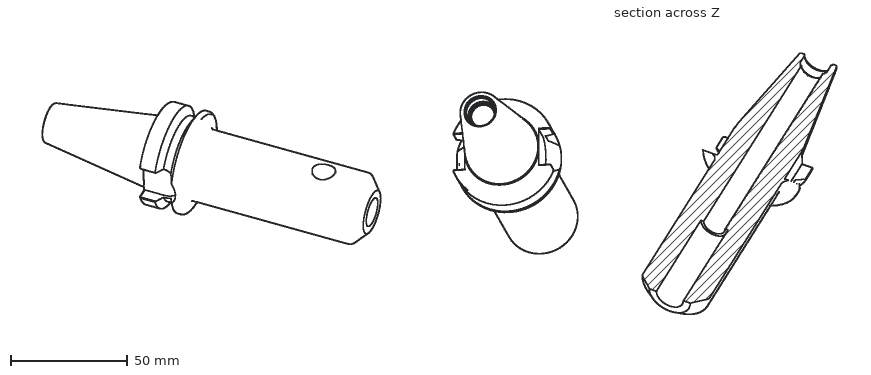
import math

import cadquery as cq

taper_start = -48.4
taper_end = 0.4
flange_start = 2.4
front_land_end = 9.8
groove_floor_start = 12.1
groove_floor_end = 15.7
rear_land_start = 17.9
flange_end = 20.4
neck_end = 23.4
shank_end = 102.0

gauge_diameter = 31.75
taper_per_length = 7 / 24
flange_radius = 46.0 / 2
groove_radius = 38.4 / 2
shank_radius = 32.0 / 2
taper_tip_fillet = 1.0
flange_root_fillet = 0.4
flange_edge_fillet = 1.0
neck_fillet = neck_end - flange_end
nose_angle = math.radians(48)
nose_fillet = 1.7
nose_length = 5.7
nose_tip_chamfer = 0.4

keyway_width = 16.1
keyway_floor = 16.1
keyway_end = 19.95
keyway_edge_chamfer = 0.4

drawbar_mouth_diameter = 14.0
drawbar_lead_in_diameter = 13.1
drawbar_guide_diameter = 12.5
drawbar_guide_start = 1.1
drawbar_guide_end = 5.4
drawbar_seat_diameter = 11.4
drawbar_seat_start = 6.0
drawbar_seat_end = 6.6
drawbar_diameter = 10.11

tool_bore_diameter = 12.7
tool_bore_depth = 45.0
screw_hole_diameter = 10.11
screw_hole_x = 79.5


def taper_radius(x):
    return (gauge_diameter + x * taper_per_length) / 2


def revolve_about_x(profile):
    return profile.close().revolve(360, (0, 0, 0), (1, 0, 0))


def taper_cone():
    """Steep taper with a rounded tip."""
    profile = (
        cq.Workplane("XY")
        .moveTo(taper_start, 0)
        .lineTo(taper_start, taper_radius(taper_start))
        .lineTo(taper_end, taper_radius(taper_end))
        .lineTo(taper_end, 0)
    )
    return revolve_about_x(profile).edges("<X").fillet(taper_tip_fillet)


def flange_and_shank():
    """Cylinder behind the taper, grooved flange, shank and conical nose."""
    root_radius = taper_radius(taper_end)
    nose_start = shank_end - nose_length
    blend_half_length = nose_fillet * math.tan(nose_angle / 2)
    blend_end_x = nose_start + blend_half_length * math.cos(nose_angle)
    blend_end_radius = shank_radius - blend_half_length * math.sin(nose_angle)
    cone_end_x = shank_end - nose_tip_chamfer
    cone_end_radius = shank_radius - (cone_end_x - nose_start) * math.tan(nose_angle)
    profile = (
        cq.Workplane("XY")
        .moveTo(taper_end, 0)
        .lineTo(taper_end, root_radius)
        .lineTo(flange_start - flange_root_fillet, root_radius)
        .radiusArc((flange_start, root_radius + flange_root_fillet), -flange_root_fillet)
        .lineTo(flange_start, flange_radius - flange_edge_fillet)
        .radiusArc((flange_start + flange_edge_fillet, flange_radius), flange_edge_fillet)
        .lineTo(front_land_end, flange_radius)
        .lineTo(groove_floor_start, groove_radius)
        .lineTo(groove_floor_end, groove_radius)
        .lineTo(rear_land_start, flange_radius)
        .lineTo(flange_end - flange_edge_fillet, flange_radius)
        .radiusArc((flange_end, flange_radius - flange_edge_fillet), flange_edge_fillet)
        .lineTo(flange_end, shank_radius + neck_fillet)
        .radiusArc((neck_end, shank_radius), -neck_fillet)
        .lineTo(nose_start - blend_half_length, shank_radius)
        .radiusArc((blend_end_x, blend_end_radius), nose_fillet)
        .lineTo(cone_end_x, cone_end_radius)
        .lineTo(shank_end, cone_end_radius - nose_tip_chamfer)
        .lineTo(shank_end, 0)
    )
    return revolve_about_x(profile)


def keyway(side):
    """Round-ended drive slot, open toward the taper."""
    half_width = keyway_width / 2
    depth = flange_radius - keyway_floor
    return (
        cq.Workplane("XZ", origin=(0, side * keyway_floor, 0))
        .moveTo(taper_end, -half_width)
        .lineTo(keyway_end - half_width, -half_width)
        .threePointArc((keyway_end, 0), (keyway_end - half_width, half_width))
        .lineTo(taper_end, half_width)
        .close()
        .extrude(-side * depth)
    )


def drawbar_hole():
    """Stepped drawbar hole that meets the tool bore."""
    mouth_radius = drawbar_mouth_diameter / 2
    lead_in_radius = drawbar_lead_in_diameter / 2
    guide_radius = drawbar_guide_diameter / 2
    seat_radius = drawbar_seat_diameter / 2
    drawbar_radius = drawbar_diameter / 2
    profile = (
        cq.Workplane("XY")
        .moveTo(taper_start, 0)
        .lineTo(taper_start, mouth_radius)
        .lineTo(taper_start + mouth_radius - lead_in_radius, lead_in_radius)
        .lineTo(taper_start + drawbar_guide_start, guide_radius)
        .lineTo(taper_start + drawbar_guide_end, guide_radius)
        .lineTo(taper_start + drawbar_seat_start, seat_radius)
        .lineTo(taper_start + drawbar_seat_end, seat_radius)
        .lineTo(taper_start + drawbar_seat_end, drawbar_radius)
        .lineTo(shank_end - tool_bore_depth, drawbar_radius)
        .lineTo(shank_end - tool_bore_depth, 0)
    )
    return revolve_about_x(profile)


def tool_bore():
    """Plain cylindrical tool bore in the nose."""
    return (
        cq.Workplane("YZ", origin=(shank_end - tool_bore_depth, 0, 0))
        .circle(tool_bore_diameter / 2)
        .extrude(tool_bore_depth)
    )


def screw_hole():
    """Radial clamping screw hole from the top of the shank into the tool bore."""
    return (
        cq.Workplane("XY", origin=(screw_hole_x, 0, 0))
        .circle(screw_hole_diameter / 2)
        .extrude(shank_radius)
    )


def break_keyway_edges(body):
    """Chamfer the keyway walls where they meet the front land and its rounded edge."""
    margin = 0.05

    def wall_edges(wall_z):
        return cq.selectors.BoxSelector(
            (flange_start - margin, -flange_radius, wall_z - margin),
            (front_land_end + margin, flange_radius, wall_z + margin),
            boundingbox=True,
        )

    wall_z = keyway_width / 2
    return body.edges(wall_edges(-wall_z) + wall_edges(wall_z)).chamfer(keyway_edge_chamfer)


result = taper_cone().union(flange_and_shank())
for side in (-1, 1):
    result = result.cut(keyway(side))
result = break_keyway_edges(result)
result = result.cut(drawbar_hole()).cut(tool_bore()).cut(screw_hole())